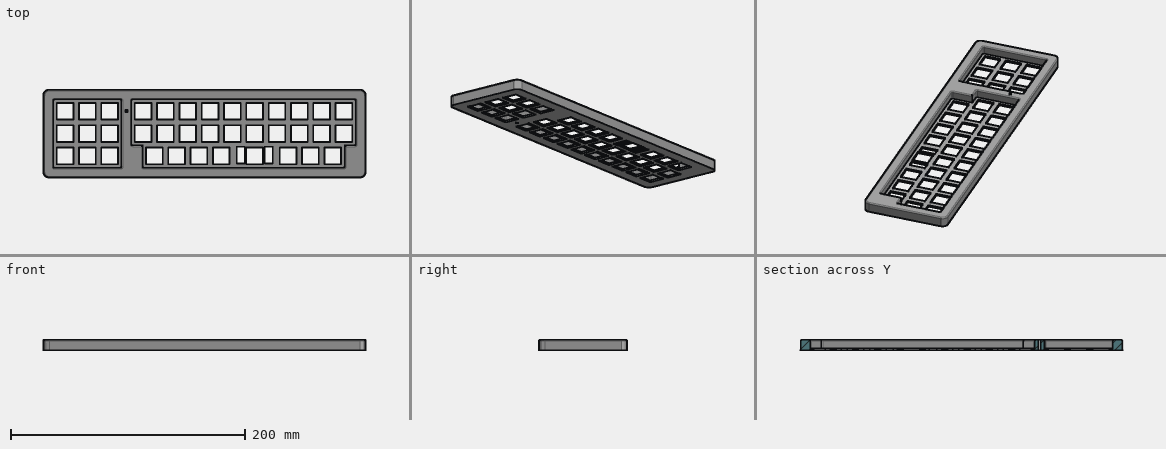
import cadquery as cq

length = 275.2
width = 75.0
height = 9.0
corner_radius = 5.0
edge_round = 1.0

pad_columns = 3
block_columns = 10
rows = 3
gap_in_keys = 0.5
key_span = 238.0
pitch = key_span / (pad_columns + gap_in_keys + block_columns - 1)
switch_size = 14.0

singles_left = 4
singles_right = 3
single_to_double = 1.5 * pitch

plate_thickness = 1.7
well_clearance = 0.5
well_radius = 1.0
rim_round = 1.0
step_inset = pitch / 2

slot_width = 6.5
slot_depth = 14.0
slot_spacing = 24.0
slot_offset_y = 0.5

indicator_diameter = 2.0
indicator_offset_y = 0.3

grid_left = -(key_span + pitch) / 2
pad_right = grid_left + pad_columns * pitch
block_left = pad_right + gap_in_keys * pitch
block_right = -grid_left
grid_top = rows * pitch / 2
step_y = grid_top - (rows - 1) * pitch
row_centers = [grid_top - (row + 0.5) * pitch for row in range(rows)]


def make_body():
    body = cq.Workplane("XY").box(length, width, height, centered=(True, True, False))
    body = body.edges("|Z").fillet(corner_radius)
    return body.faces(">Z").edges().fillet(edge_round)


def well_over(left, right, bottom, top):
    """Prism over a rectangle of the key grid, from the plate to the top face, with rounded corners."""
    prism = cq.Workplane("XY").box(
        right - left + 2 * well_clearance,
        top - bottom + 2 * well_clearance,
        height - plate_thickness,
        centered=False,
    )
    prism = prism.translate((left - well_clearance, bottom - well_clearance, plate_thickness))
    return prism.edges("|Z").fillet(well_radius)


def pad_well():
    return well_over(grid_left, pad_right, -grid_top, grid_top)


def block_well():
    """Two full rows above one row that is shorter at both ends."""
    upper = well_over(block_left, block_right, step_y, grid_top)
    lower = well_over(block_left + step_inset, block_right - step_inset, -grid_top, grid_top)
    return upper.union(lower)


def cut_wells(body):
    """Sink both wells and round their rims, the inner wires of the top face."""
    body = body.cut(pad_well()).cut(block_well())
    rims = body.faces(">Z").val().innerWires()
    return body.newObject(rims).edges().fillet(rim_round)


def columns(first_x, count):
    """X centres of adjacent single-width keys."""
    return [first_x + i * pitch for i in range(count)]


def cut_openings(body, centers, size_x, size_y):
    """Cut equal rectangular openings through the key plate."""
    openings = cq.Workplane("XY").pushPoints(centers).rect(size_x, size_y).extrude(height)
    return body.cut(openings)


pad_xs = columns(grid_left + pitch / 2, pad_columns)
block_xs = columns(block_left + pitch / 2, block_columns)

bottom_left_xs = columns(block_left + step_inset + pitch / 2, singles_left)
double_key_x = bottom_left_xs[-1] + single_to_double
bottom_right_xs = columns(double_key_x + single_to_double, singles_right)
bottom_xs = bottom_left_xs + [double_key_x] + bottom_right_xs

switch_centers = [(x, y) for x in pad_xs for y in row_centers]
switch_centers += [(x, y) for x in block_xs for y in row_centers[:-1]]
switch_centers += [(x, row_centers[-1]) for x in bottom_xs]

slot_y = row_centers[-1] + slot_offset_y
slot_centers = [(double_key_x + side * slot_spacing / 2, slot_y) for side in (-1, 1)]

indicator_center = ((pad_right + block_left) / 2, row_centers[0] + indicator_offset_y)
indicator = cq.Workplane("XY").center(*indicator_center).circle(indicator_diameter / 2).extrude(height)

result = cut_wells(make_body())
result = cut_openings(result, switch_centers, switch_size, switch_size)
result = cut_openings(result, slot_centers, slot_width, slot_depth)
result = result.cut(indicator)